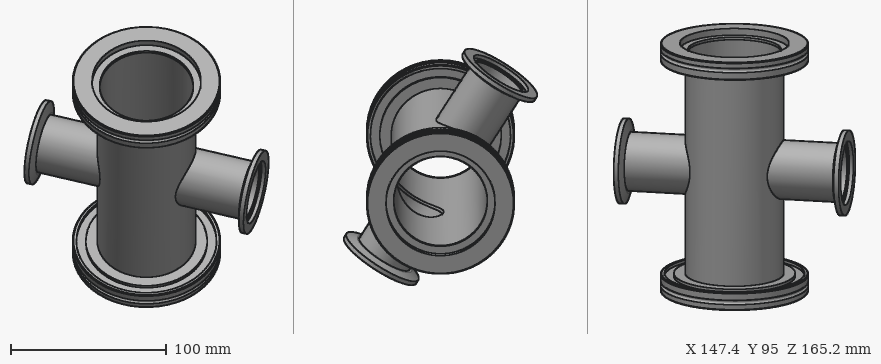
import cadquery as cq

run_length = 165.2
branch_span = 147.4

main_od = 63.5
main_bore = 60.0

main_flange_od = 95.0
main_flange_thickness = 11.9
main_seat_diameter = 70.0
main_seat_depth = 4.5
main_lip_bore = 60.1
main_lip_thickness = 1.7
rim_chamfer = 0.7
clamp_groove_start = 4.0
clamp_groove_end = 6.8
clamp_groove_depth = 1.7
back_recess_inner = 78.0
back_recess_outer = 90.0
back_recess_depth = 2.0

branch_od = 38.2
branch_bore = 35.0

branch_flange_od = 55.0
branch_rim_thickness = 3.1
branch_flange_thickness = 5.3
branch_hub_diameter = 41.1
branch_seat_diameter = 41.1
branch_seat_depth = 2.6
branch_lip_bore = 36.3
branch_lip_thickness = 1.0

main_tube_inset = main_seat_depth + main_lip_thickness
branch_tube_inset = branch_seat_depth + branch_lip_thickness


def cylinder_z(diameter, start, end):
    """Solid cylinder on the Z axis between two heights."""
    return cq.Workplane("XY").workplane(offset=start).circle(diameter / 2).extrude(end - start)


def cylinder_x(diameter, start, end):
    """Solid cylinder on the X axis between two positions."""
    return cq.Workplane("YZ").workplane(offset=start).circle(diameter / 2).extrude(end - start)


def make_main_tube():
    """Straight tube with a cross bore where the branches open into it."""
    half = run_length / 2 - main_tube_inset
    tube = cylinder_z(main_od, -half, half).cut(cylinder_z(main_bore, -half, half))
    return tube.cut(cylinder_x(branch_bore, -main_od, main_od))


def make_main_flange():
    """Grooved flange with its sealing face at Z = 0 and its back at negative Z."""
    rim = main_flange_od / 2
    groove_middle = (clamp_groove_start + clamp_groove_end) / 2
    back = -main_flange_thickness
    flange = (
        cq.Workplane("XZ")
        .moveTo(0, 0)
        .lineTo(rim - rim_chamfer, 0)
        .lineTo(rim, -rim_chamfer)
        .lineTo(rim, -clamp_groove_start)
        .threePointArc((rim - clamp_groove_depth, -groove_middle), (rim, -clamp_groove_end))
        .lineTo(rim, back + rim_chamfer)
        .lineTo(rim - rim_chamfer, back)
        .lineTo(0, back)
        .close()
        .revolve(360, (0, 0, 0), (0, 1, 0))
    )
    recess_top = back + back_recess_depth
    recess = cylinder_z(back_recess_outer, back, recess_top).cut(
        cylinder_z(back_recess_inner, back, recess_top)
    )
    seat = cylinder_z(main_seat_diameter, -main_seat_depth, 0)
    lip_bore = cylinder_z(main_lip_bore, back, 0)
    socket = cylinder_z(main_od, back, -main_tube_inset)
    return flange.cut(recess).cut(seat).cut(lip_bore).cut(socket)


def make_branch_tube():
    """Branch along +X whose inner end is shaped to sit on the main tube."""
    end = branch_span / 2 - branch_tube_inset
    tube = cylinder_x(branch_od, 0, end)
    tube = tube.cut(cylinder_z(main_od, -branch_od, branch_od))
    return tube.cut(cylinder_x(branch_bore, 0, end))


def make_branch_flange():
    """Flange with a tapered back and its sealing face at the +X end of the branch."""
    face = branch_span / 2
    rim_back = face - branch_rim_thickness
    back = face - branch_flange_thickness
    flange = (
        cq.Workplane("XY")
        .polyline([
            (face, 0),
            (face, branch_flange_od / 2),
            (rim_back, branch_flange_od / 2),
            (back, branch_hub_diameter / 2),
            (back, 0),
        ])
        .close()
        .revolve(360, (0, 0, 0), (1, 0, 0))
    )
    seat = cylinder_x(branch_seat_diameter, face - branch_seat_depth, face)
    lip_bore = cylinder_x(branch_lip_bore, back, face)
    socket = cylinder_x(branch_od, back, face - branch_tube_inset)
    return flange.cut(seat).cut(lip_bore).cut(socket)


main_tube = make_main_tube()
bodies = [main_tube.val()]

for turn in (0, 180):
    main_flange = make_main_flange().translate((0, 0, run_length / 2))
    bodies.append(main_flange.rotate((0, 0, 0), (1, 0, 0), turn).val())

for turn in (0, 180):
    branch_tube = make_branch_tube().rotate((0, 0, 0), (0, 0, 1), turn)
    branch_flange = make_branch_flange().rotate((0, 0, 0), (0, 0, 1), turn)
    bodies.append(branch_tube.val())
    bodies.append(branch_flange.val())

result = cq.Compound.makeCompound(bodies)